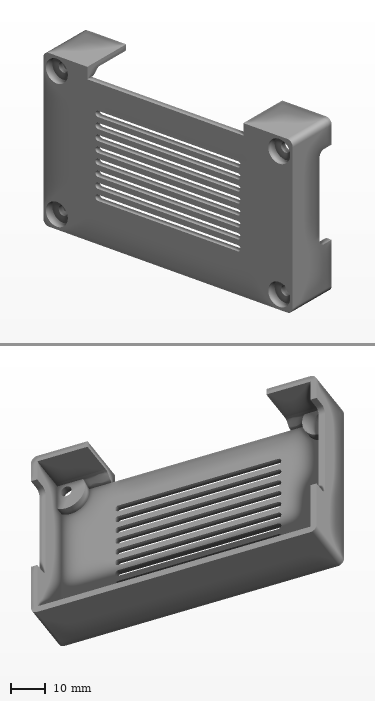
import cadquery as cq

length = 91.0
depth = 18.0
height = 56.0
wall = 2.0
corner_radius = 2.0
half_height = height / 2

top_notch_left_margin = 16.0
top_notch_right_margin = 18.0
top_notch_depth = 4.0
top_notch_width = length - top_notch_left_margin - top_notch_right_margin
top_notch_center_x = (top_notch_left_margin - top_notch_right_margin) / 2

ledge_rise = 4.0
ledge_spread = top_notch_depth - wall

screw_inset = 4.9
screw_diameter = 3.4
counterbore_diameter = 8.0
counterbore_depth = 3.0
boss_diameter = counterbore_diameter + 2 * wall
boss_height = counterbore_depth + wall

slot_count = 8
slot_length = 53.0
slot_width = 2.0
slot_span = 27.0
slot_pitch = slot_span / (slot_count - 1)
slot_center_z = 0.55

side_notch_drop = 8.5
side_notch_height = 30.7
side_notch_depth = 5.55
side_notch_radius = 2.0
side_notch_center_z = half_height - side_notch_drop - side_notch_height / 2


def make_block(width, block_height, y_start):
    """Block centred on the face, running from y_start to the open rim."""
    plane = cq.Workplane("XZ", origin=(0, y_start, 0))
    return plane.rect(width, block_height).extrude(y_start - depth)


def make_bottom_ledge():
    """Strip with an S-shaped surface that is level at both ends."""
    wall_z = wall - half_height
    ledge = (
        cq.Workplane("YZ")
        .moveTo(wall + ledge_rise, wall_z)
        .spline(
            [(wall, wall_z + ledge_spread)],
            tangents=[(-1, 0), (-1, 0)],
            includeCurrent=True,
        )
        .lineTo(wall, wall_z)
        .close()
    )
    return ledge.extrude(length / 2 - wall, both=True)


def screw_points():
    x = length / 2 - screw_inset
    z = half_height - screw_inset
    return [(x, z), (-x, z), (x, -z), (-x, -z)]


def screw_cylinders(diameter, reach):
    """Four cylinders that start at the outer face and run towards the rim."""
    return cq.Workplane("XZ").pushPoints(screw_points()).circle(diameter / 2).extrude(-reach)


def make_slots():
    slots = cq.Workplane("XZ").center(0, slot_center_z).rarray(0.9, slot_pitch, 1, slot_count)
    return slots.slot2D(slot_length, slot_width).extrude(-wall)


def make_top_notch():
    notch = cq.Workplane().box(top_notch_width, depth, top_notch_depth)
    return notch.translate((top_notch_center_x, depth / 2, half_height - top_notch_depth / 2))


def make_side_notch():
    notch = cq.Workplane().box(length, side_notch_depth, side_notch_height)
    notch = notch.edges("|X and <Y").fillet(side_notch_radius)
    return notch.translate((0, depth - side_notch_depth / 2, side_notch_center_z))


outline = make_block(length, height, 0).edges("|Y").fillet(corner_radius)
cavity = make_block(length - 2 * wall, height - 2 * wall, wall)
bosses = screw_cylinders(boss_diameter, boss_height).intersect(outline)
bottom_ledge = make_bottom_ledge()
top_ledge = bottom_ledge.mirror("XY")

body = outline.cut(cavity).union(bottom_ledge).union(top_ledge).union(bosses)
body = body.cut(make_top_notch()).cut(make_side_notch()).cut(make_slots())
body = body.cut(screw_cylinders(counterbore_diameter, counterbore_depth))
result = body.cut(screw_cylinders(screw_diameter, depth))